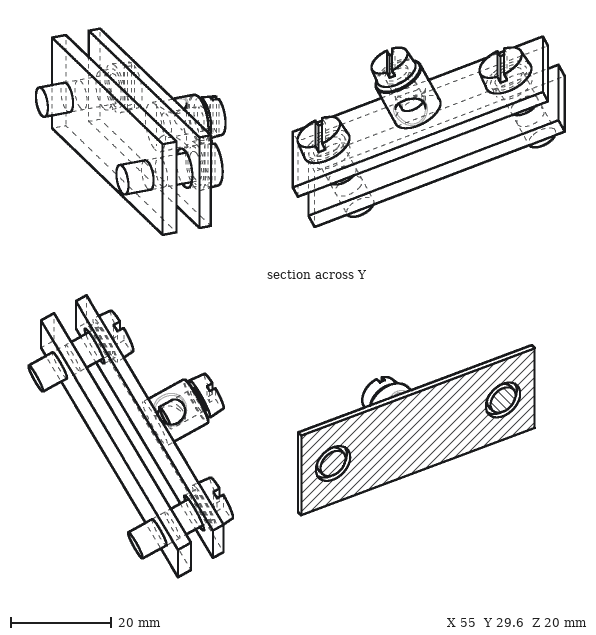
import cadquery as cq
import math

PLATE_LENGTH = 55.0
PLATE_HEIGHT = 20.0
REAR_THICKNESS = 2.5
FRONT_THICKNESS = 3.0
PLATE_GAP = 5.0

SCREW_SPACING = 40.0
SCREW_DIAMETER = 6.0
SCREW_TIP_LENGTH = 5.5
SCREW_HEAD_DIAMETER = 10.0
SCREW_HEAD_HEIGHT = 3.85
SCREW_SLOT_WIDTH = 1.5
SCREW_SLOT_DEPTH = 1.5
CLEARANCE_DIAMETER = 8.0

POST_DIAMETER = 10.0
POST_HEIGHT = 9.5
POST_CHAMFER = 0.15
WIRE_HOLE_DIAMETER = 6.0
WIRE_HOLE_HEIGHT = 3.5
WIRE_HOLE_FILLET = 0.25

CLAMP_DIAMETER = 5.0
CLAMP_TIP_HEIGHT = 2.35
CLAMP_HEAD_GAP = 0.75
CLAMP_HEAD_DIAMETER = 8.5
CLAMP_HEAD_HEIGHT = 3.3
CLAMP_SLOT_WIDTH = 1.15
CLAMP_SLOT_DEPTH = 1.3

HEAD_DRAFT = 5.0

REAR_PLATE_BACK = -REAR_THICKNESS
FRONT_PLATE_TOP = REAR_PLATE_BACK - PLATE_GAP
FRONT_PLATE_BACK = FRONT_PLATE_TOP - FRONT_THICKNESS
SCREW_TIP = FRONT_PLATE_BACK - SCREW_TIP_LENGTH
CLAMP_HEAD_SEAT = POST_HEIGHT + CLAMP_HEAD_GAP
SCREW_POSITIONS = (-SCREW_SPACING / 2, SCREW_SPACING / 2)


def y_cylinder(diameter, y_start, y_end, x=0):
    """Cylinder along Y between two Y positions."""
    solid = cq.Solid.makeCylinder(
        diameter / 2, y_end - y_start, cq.Vector(x, y_start, 0), cq.Vector(0, 1, 0)
    )
    return cq.Workplane(obj=solid)


def make_plate(y_back, thickness, hole_diameter):
    """Rectangular plate with one round hole for each joining screw."""
    plate = cq.Workplane().box(PLATE_LENGTH, thickness, PLATE_HEIGHT)
    plate = plate.translate((0, y_back + thickness / 2, 0))
    for x in SCREW_POSITIONS:
        plate = plate.cut(y_cylinder(hole_diameter, y_back, y_back + thickness, x))
    return plate


def make_slotted_screw(shank_diameter, y_tip, y_seat, head_diameter, head_height, slot_width, slot_depth):
    """Plain shank along Y and a tapered head with a driver slot along Z."""
    shank_radius = shank_diameter / 2
    head_radius = head_diameter / 2
    top_radius = head_radius - head_height * math.tan(math.radians(HEAD_DRAFT))
    y_top = y_seat + head_height
    half_profile = [
        (0, y_tip),
        (shank_radius, y_tip),
        (shank_radius, y_seat),
        (head_radius, y_seat),
        (top_radius, y_top),
        (0, y_top),
    ]
    screw = cq.Workplane("XY").polyline(half_profile).close().revolve(360, (0, 0), (0, 1))
    slot = cq.Workplane().box(slot_width, slot_depth, head_diameter)
    return screw.cut(slot.translate((0, y_top - slot_depth / 2, 0)))


def make_post():
    """Round post with a chamfered rim, a wire hole with rounded rims and a bore for the clamp screw."""
    post = y_cylinder(POST_DIAMETER, 0, POST_HEIGHT).faces(">Y").chamfer(POST_CHAMFER)
    wire_hole = (
        cq.Workplane()
        .center(0, WIRE_HOLE_HEIGHT)
        .circle(WIRE_HOLE_DIAMETER / 2)
        .extrude(POST_DIAMETER, both=True)
    )
    hole_rims = cq.selectors.BoxSelector(
        (-WIRE_HOLE_DIAMETER, POST_CHAMFER, -POST_DIAMETER),
        (WIRE_HOLE_DIAMETER, POST_HEIGHT - 2 * POST_CHAMFER, POST_DIAMETER),
    )
    post = post.cut(wire_hole)
    post = post.edges(hole_rims).edges("not %LINE").fillet(WIRE_HOLE_FILLET)
    return post.cut(y_cylinder(CLAMP_DIAMETER, WIRE_HOLE_HEIGHT, POST_HEIGHT))


rear_plate = make_plate(REAR_PLATE_BACK, REAR_THICKNESS, CLEARANCE_DIAMETER)
front_plate = make_plate(FRONT_PLATE_BACK, FRONT_THICKNESS, SCREW_DIAMETER)

joining_screws = []
for screw_x in SCREW_POSITIONS:
    joining_screw = make_slotted_screw(
        SCREW_DIAMETER,
        SCREW_TIP,
        0,
        SCREW_HEAD_DIAMETER,
        SCREW_HEAD_HEIGHT,
        SCREW_SLOT_WIDTH,
        SCREW_SLOT_DEPTH,
    )
    joining_screws.append(joining_screw.translate((screw_x, 0, 0)).val())

post = make_post()
clamp_screw = make_slotted_screw(
    CLAMP_DIAMETER,
    CLAMP_TIP_HEIGHT,
    CLAMP_HEAD_SEAT,
    CLAMP_HEAD_DIAMETER,
    CLAMP_HEAD_HEIGHT,
    CLAMP_SLOT_WIDTH,
    CLAMP_SLOT_DEPTH,
)

result = cq.Compound.makeCompound(
    [rear_plate.val(), front_plate.val(), *joining_screws, post.val(), clamp_screw.val()]
)